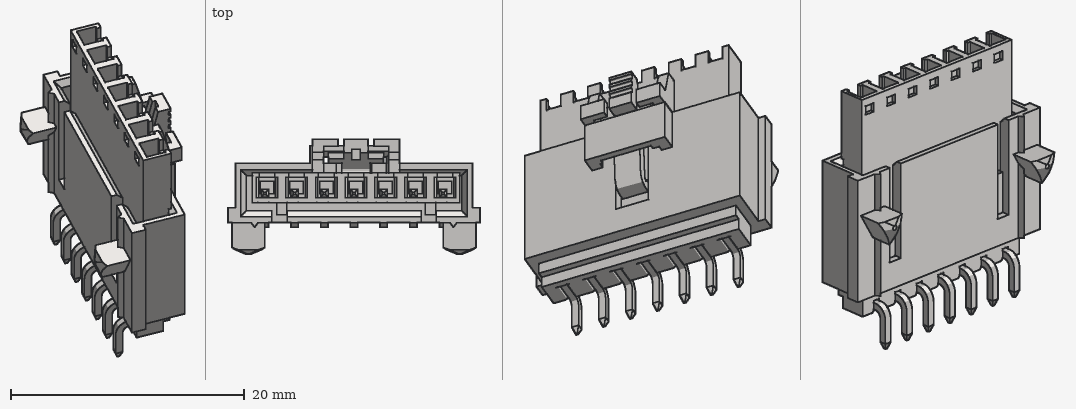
import cadquery as cq
import math


OVERALL_Z = 23.17
DIAGONAL = math.sqrt(0.5)

CONTACTS = 7
CONTACT_SPAN = 15.25
PITCH = CONTACT_SPAN / (CONTACTS - 1)
contact_places = [(i - (CONTACTS - 1) / 2) * PITCH for i in range(CONTACTS)]

PIN_SIZE = 0.65
PIN_Y = 2.5
PIN_Z = -1.6
PIN_TOP_Z = 8.8
TAIL_Y = -0.1
BEND_INNER = 0.58
POINT_LENGTH = 0.63
POINT_SIZE = 0.2

SHELL_HALF_X = 10.15
SHELL_Y = 5.07
SHELL_Z = 11.47
FLANGE_HALF_X = 10.8
FLANGE_Y = 1.27

FLOOR_Z = 2.55
FLOOR_HALF_X = 9.2
FLOOR_FRONT_Y = 1.02
FLOOR_BACK_Y = 4.0
MOUTH_CHAMFER = 0.5

KEY_SLOTS = [(-7.02, -5.7), (5.77, 7.05)]
RIDGE_X = 8.5
RIDGE_HALF_WIDTH = 0.3
RIDGE_HEIGHT = 0.42

BASE_HALF_X = 9.3
BASE_FRONT_Y = 1.0
BASE_STEP_Y = 3.43
BASE_BACK_Y = 4.0
BASE_STEP_Z = -1.1
BASE_BOTTOM_Z = -2.18
MOUTH_RADIUS = 0.3

PEG_X = 9.04
PEG_HALF_WIDTH = 1.41
PEG_TOP_Z = 8.06
PEG_BOTTOM_Z = 5.55
PEG_TIP_Y = -2.7
PEG_AXIS_DROP = 0.7
PEG_TIP_RADIUS = 0.2
PEG_CONE_SLOPE = 0.42
PEG_TOP_BEVEL = 0.37
PEG_SIDE_BEVEL = 0.32

BRIDGE_HALF_X = 3.78
BRIDGE_Y = 6.58
BRIDGE_BOTTOM_Z = 7.6
OPENING_HALF_X = 2.78
OPENING_BACK_Y = 5.58
SILL_Z = 9.96
LATCH_SLOT_HALF_X = 1.53

PLUG_X = 0.174
PLUG_HALF_X = 8.87
PLUG_FRONT_Y = 1.7
PLUG_BACK_Y = 4.25
PLUG_TOP_Z = 17.85
PIN_TAIL_Z = PLUG_TOP_Z - OVERALL_Z

CELL_X = 1.85
CELL_FRONT_Y = 2.13
CELL_BACK_Y = 3.87
CELL_FLOOR_Z = 7.88
CELL_FLOOR_X = 1.44
WELL_X = 1.15
WELL_FRONT_Y = 2.48
WELL_BACK_Y = 3.52
WELL_DEPTH = 0.46
NOTCH_X = 1.35
NOTCH_DEPTH = 1.25

WINDOW_SHIFT = -0.32
WINDOW_X = 0.95
WINDOW_BOTTOM_Z = 16.31
WINDOW_TOP_Z = 17.12
WINDOW_DEPTH = 0.35

KEYS = [(-6.6, -5.75), (6.1, 6.97)]
KEY_FRONT_Y = 0.67
KEY_TOP_Z = 6.37

LEG_OUTER_X = 3.73
LEG_INNER_X = 2.78
HOOK_INNER_X = 1.53
HOOK_FRONT_Y = 6.5
LATCH_BACK_Y = 7.14
GUARD_BOTTOM_Z = 11.8
HOOK_TOP_Z = 13.28
GUARD_TOP_Z = 15.69
GUARD_SLOPE_TOP_Y = 5.35
GUARD_SLOPE_FOOT_Y = 6.0

ARM_HALF_X = 2.36
ARM_NECK_HALF_X = 1.2
ARM_NECK_Z = 10.2
ARM_BEND_Z = 5.51
ARM_BEND_RADIUS = 0.25
ARM_FOOT_BACK_Y = 5.6
ARM_BACK_Y = 5.98
ARM_FRONT_Y = 5.2
TAB_HALF_X = 1.05
TAB_TOP_Z = 15.45
SLOPE_FOOT_Z = 12.05
SERRATIONS = 3
SERRATION_RADIUS = 0.23
SERRATION_PITCH = 0.76
FIRST_SERRATION_DROP = 0.5
TAB_SLOT_X = 0.75
TAB_SLOT_BACK_Y = 6.25
TAB_SLOT_Z = 12.75


def block(x0, x1, y0, y1, z0, z1):
    """Box between two opposite corners."""
    return cq.Workplane("XY").box(x1 - x0, y1 - y0, z1 - z0, centered=False).translate((x0, y0, z0))


def side_profile(points, x0, x1):
    """Prism with a (Y, Z) outline, running from x0 to x1."""
    return cq.Workplane("YZ").polyline(points).close().extrude(x1 - x0).translate((x0, 0, 0))


def tapered_block(low, high, z0, z1):
    """Loft between two (x0, x1, y0, y1) rectangles at the heights z0 and z1."""
    def corners(x0, x1, y0, y1):
        return [(x0, y0), (x1, y0), (x1, y1), (x0, y1)]

    return (
        cq.Workplane("XY", origin=(0, 0, z0)).polyline(corners(*low)).close()
        .workplane(offset=z1 - z0).polyline(corners(*high)).close()
        .loft(ruled=True)
    )


def make_pin(x):
    """Square pin: upright contact leg, square corner, rounded bend and downward solder tail."""
    h = PIN_SIZE / 2
    bend_outer = BEND_INNER + PIN_SIZE
    bend_y = TAIL_Y + h + BEND_INNER
    bend_z = PIN_Z - h - BEND_INNER
    inner_mid = BEND_INNER * DIAGONAL
    outer_mid = bend_outer * DIAGONAL
    top = PIN_TOP_Z - POINT_LENGTH
    tail = PIN_TAIL_Z + POINT_LENGTH
    body = (
        cq.Workplane("YZ")
        .moveTo(PIN_Y - h, top).lineTo(PIN_Y + h, top).lineTo(PIN_Y + h, PIN_Z - h)
        .lineTo(bend_y, PIN_Z - h)
        .threePointArc((bend_y - inner_mid, bend_z + inner_mid), (bend_y - BEND_INNER, bend_z))
        .lineTo(TAIL_Y + h, tail).lineTo(TAIL_Y - h, tail).lineTo(TAIL_Y - h, bend_z)
        .threePointArc((bend_y - outer_mid, bend_z + outer_mid), (bend_y, PIN_Z + h))
        .lineTo(PIN_Y - h, PIN_Z + h).close()
        .extrude(h, both=True)
    )

    def point(y, z, length):
        return (
            cq.Workplane("XY", origin=(0, y, z)).rect(PIN_SIZE, PIN_SIZE)
            .workplane(offset=length).rect(POINT_SIZE, POINT_SIZE).loft(ruled=True)
        )

    body = body.union(point(PIN_Y, top, POINT_LENGTH)).union(point(TAIL_Y, tail, -POINT_LENGTH))
    return body.translate((x, 0, 0))


def make_peg(x):
    """Triangular mounting peg with a conical tip, bevelled along its three sides."""
    axis_z = PEG_TOP_Z - PEG_AXIS_DROP
    length = -PEG_TIP_Y
    prism = (
        cq.Workplane("XZ")
        .polyline([(-PEG_HALF_WIDTH, PEG_TOP_Z), (PEG_HALF_WIDTH, PEG_TOP_Z), (0, PEG_BOTTOM_Z)]).close()
        .extrude(length)
    )
    base_radius = PEG_TIP_RADIUS + length / PEG_CONE_SLOPE
    cone = (
        cq.Workplane("XZ", origin=(0, 0, axis_z)).circle(base_radius)
        .workplane(offset=length).circle(PEG_TIP_RADIUS).loft(ruled=True)
    )
    peg = prism.intersect(cone)

    def bevel(angle, distance, depth):
        """Wedge along a side that lies at a distance from the axis, turned by an angle from the top."""
        reach = 2 * distance - PEG_TIP_RADIUS
        outline = [
            (PEG_TIP_Y, axis_z + PEG_TIP_RADIUS), (PEG_TIP_Y, axis_z + reach),
            (PEG_TIP_Y + 2 * depth, axis_z + reach),
        ]
        wedge = side_profile(outline, -2 * PEG_HALF_WIDTH, 2 * PEG_HALF_WIDTH)
        return wedge.rotate((0, 0, axis_z), (0, 1, axis_z), angle)

    half_apex = math.atan2(PEG_HALF_WIDTH, PEG_TOP_Z - PEG_BOTTOM_Z)
    side_distance = (axis_z - PEG_BOTTOM_Z) * math.sin(half_apex)
    side_angle = 90 + math.degrees(half_apex)
    peg = peg.cut(bevel(0, PEG_AXIS_DROP, PEG_TOP_BEVEL))
    for angle in (-side_angle, side_angle):
        peg = peg.cut(bevel(angle, side_distance, PEG_SIDE_BEVEL))
    return peg.translate((x, 0, 0))


def make_ridge(x):
    """Triangular crush ridge up the mounting face."""
    outline = [(x - RIDGE_HALF_WIDTH, 0), (x, -RIDGE_HEIGHT), (x + RIDGE_HALF_WIDTH, 0)]
    return cq.Workplane("XY").polyline(outline).close().extrude(SHELL_Z)


def make_pin_slot(x):
    """Insertion slot under a pin, with a rounded mouth."""
    h = PIN_SIZE / 2
    mouth = h + MOUTH_RADIUS
    top = BASE_BOTTOM_Z + MOUTH_RADIUS
    mid = MOUTH_RADIUS * (1 - DIAGONAL)
    return (
        cq.Workplane("XZ", origin=(x, BASE_FRONT_Y, 0))
        .moveTo(-mouth, BASE_BOTTOM_Z)
        .threePointArc((-h - mid, BASE_BOTTOM_Z + mid), (-h, top))
        .lineTo(-h, BASE_STEP_Z).lineTo(h, BASE_STEP_Z).lineTo(h, top)
        .threePointArc((h + mid, BASE_BOTTOM_Z + mid), (mouth, BASE_BOTTOM_Z))
        .close().extrude(-(PIN_Y + h - BASE_FRONT_Y))
    )


def make_shell():
    """Solid outer form: shell, side flanges, latch bridge, pin base, ridges and pegs."""
    shell = block(-SHELL_HALF_X, SHELL_HALF_X, 0, SHELL_Y, 0, SHELL_Z)
    flanges = block(-FLANGE_HALF_X, FLANGE_HALF_X, 0, FLANGE_Y, 0, SHELL_Z)
    bridge = block(-BRIDGE_HALF_X, BRIDGE_HALF_X, SHELL_Y, BRIDGE_Y, BRIDGE_BOTTOM_Z, SHELL_Z)
    base_outline = [
        (BASE_FRONT_Y, 0), (BASE_FRONT_Y, BASE_BOTTOM_Z), (BASE_STEP_Y, BASE_BOTTOM_Z),
        (BASE_STEP_Y, BASE_STEP_Z), (BASE_BACK_Y, BASE_STEP_Z), (BASE_BACK_Y, 0),
    ]
    base = side_profile(base_outline, -BASE_HALF_X, BASE_HALF_X)
    shell = shell.union(flanges).union(bridge).union(base)
    for side in (-1, 1):
        shell = shell.union(make_ridge(side * RIDGE_X)).union(make_peg(side * PEG_X))
    return shell


def make_cavity():
    """Mating cavity with a chamfered mouth and the keying slots in its front wall."""
    mouth_half_x = FLOOR_HALF_X + MOUTH_CHAMFER
    cavity = block(-FLOOR_HALF_X, FLOOR_HALF_X, FLOOR_FRONT_Y, FLOOR_BACK_Y, FLOOR_Z, SHELL_Z)
    mouth = tapered_block(
        (-FLOOR_HALF_X, FLOOR_HALF_X, FLOOR_FRONT_Y, FLOOR_BACK_Y),
        (-mouth_half_x, mouth_half_x, FLOOR_FRONT_Y - MOUTH_CHAMFER, FLOOR_BACK_Y + MOUTH_CHAMFER),
        SHELL_Z - MOUTH_CHAMFER, SHELL_Z,
    )
    cavity = cavity.union(mouth)
    for x0, x1 in KEY_SLOTS:
        cavity = cavity.union(block(x0, x1, -RIDGE_HEIGHT, PLUG_FRONT_Y, FLOOR_Z, SHELL_Z))
    return cavity


def make_latch_opening():
    """Passage for the latch through the bridge and the back wall, above a sill with a narrow slot."""
    opening_top_x = OPENING_HALF_X + MOUTH_CHAMFER
    opening = block(-OPENING_HALF_X, OPENING_HALF_X, PLUG_FRONT_Y, OPENING_BACK_Y, BRIDGE_BOTTOM_Z, SHELL_Z)
    mouth = tapered_block(
        (-OPENING_HALF_X, OPENING_HALF_X, PLUG_FRONT_Y, OPENING_BACK_Y),
        (-opening_top_x, opening_top_x, PLUG_FRONT_Y, OPENING_BACK_Y + MOUTH_CHAMFER),
        SHELL_Z - MOUTH_CHAMFER, SHELL_Z,
    )
    sill = block(-SHELL_HALF_X, SHELL_HALF_X, 0, SHELL_Y, 0, SILL_Z)
    arm_recess = block(
        PLUG_X - ARM_HALF_X, PLUG_X + ARM_HALF_X, SHELL_Y, ARM_BACK_Y, BRIDGE_BOTTOM_Z, SHELL_Z
    )
    slot = block(-LATCH_SLOT_HALF_X, LATCH_SLOT_HALF_X, PLUG_FRONT_Y, SHELL_Y, FLOOR_Z, SHELL_Z)
    return opening.union(mouth).cut(sill).union(arm_recess).union(slot)


def make_header(pins):
    """Header housing with its cavity, latch passage and matching pin holes."""
    body = make_shell().cut(make_cavity()).cut(make_latch_opening())
    for x, pin in zip(contact_places, pins):
        body = body.cut(make_pin_slot(x)).cut(pin)
    return body


def make_cell(x):
    """Contact cell with a chamfered floor, a shallow well, a back notch and a blind front window."""
    half = CELL_X / 2
    low = CELL_FLOOR_X / 2
    lead_top = CELL_FLOOR_Z + half - low
    upper = block(x - half, x + half, CELL_FRONT_Y, CELL_BACK_Y, lead_top, PLUG_TOP_Z)
    lower = tapered_block(
        (x - low, x + low, CELL_FRONT_Y, CELL_BACK_Y),
        (x - half, x + half, CELL_FRONT_Y, CELL_BACK_Y), CELL_FLOOR_Z, lead_top,
    )
    well = block(
        x - WELL_X / 2, x + WELL_X / 2, WELL_FRONT_Y, WELL_BACK_Y, CELL_FLOOR_Z - WELL_DEPTH, CELL_FLOOR_Z
    )
    notch = block(
        x - NOTCH_X / 2, x + NOTCH_X / 2, CELL_BACK_Y, PLUG_BACK_Y, PLUG_TOP_Z - NOTCH_DEPTH, PLUG_TOP_Z
    )
    window_x = x + WINDOW_SHIFT
    window = block(
        window_x - WINDOW_X / 2, window_x + WINDOW_X / 2,
        PLUG_FRONT_Y, PLUG_FRONT_Y + WINDOW_DEPTH, WINDOW_BOTTOM_Z, WINDOW_TOP_Z,
    )
    return upper.union(lower).union(well).union(notch).union(window)


def make_guard(side):
    """Stepped plate beside the latch arm, with a hook reaching inwards behind it."""
    def span(inner, outer):
        return sorted((PLUG_X + side * inner, PLUG_X + side * outer))

    plate = [
        (PLUG_BACK_Y, GUARD_BOTTOM_Z), (LATCH_BACK_Y, GUARD_BOTTOM_Z), (LATCH_BACK_Y, HOOK_TOP_Z),
        (GUARD_SLOPE_FOOT_Y, HOOK_TOP_Z), (GUARD_SLOPE_TOP_Y, GUARD_TOP_Z), (PLUG_BACK_Y, GUARD_TOP_Z),
    ]
    guard = side_profile(plate, *span(LEG_INNER_X, LEG_OUTER_X))
    hook_x = span(HOOK_INNER_X, LEG_OUTER_X)
    return guard.union(block(*hook_x, HOOK_FRONT_Y, LATCH_BACK_Y, GUARD_BOTTOM_Z, HOOK_TOP_Z))


def make_latch():
    """U-shaped spring arm rising from the plug back, ending in a serrated finger tab."""
    inner_y = PLUG_BACK_Y + 2 * ARM_BEND_RADIUS
    bend_y = PLUG_BACK_Y + ARM_BEND_RADIUS
    outer_radius = ARM_FOOT_BACK_Y - bend_y
    arm = (
        cq.Workplane("YZ").moveTo(FLOOR_BACK_Y, ARM_BEND_Z).lineTo(PLUG_BACK_Y, ARM_BEND_Z)
        .threePointArc((bend_y, ARM_BEND_Z - ARM_BEND_RADIUS), (inner_y, ARM_BEND_Z))
        .lineTo(ARM_FRONT_Y, SLOPE_FOOT_Z).lineTo(ARM_BACK_Y, TAB_TOP_Z)
        .lineTo(LATCH_BACK_Y, TAB_TOP_Z).lineTo(LATCH_BACK_Y, SLOPE_FOOT_Z)
        .lineTo(ARM_BACK_Y, SLOPE_FOOT_Z).lineTo(ARM_BACK_Y, SHELL_Z)
        .lineTo(ARM_FOOT_BACK_Y, ARM_BEND_Z)
        .threePointArc(
            (bend_y + outer_radius * DIAGONAL, ARM_BEND_Z - outer_radius * DIAGONAL),
            (bend_y, ARM_BEND_Z - outer_radius),
        )
        .lineTo(FLOOR_BACK_Y, ARM_BEND_Z - outer_radius).close()
        .extrude(ARM_HALF_X, both=True)
    )
    neck = block(-ARM_NECK_HALF_X, ARM_NECK_HALF_X, 0, LATCH_BACK_Y, 0, ARM_NECK_Z)
    paddle = block(-ARM_HALF_X, ARM_HALF_X, 0, ARM_BACK_Y, ARM_NECK_Z, HOOK_TOP_Z)
    tab = block(-TAB_HALF_X, TAB_HALF_X, 0, LATCH_BACK_Y, SLOPE_FOOT_Z, TAB_TOP_Z)
    latch = arm.intersect(neck.union(paddle).union(tab))
    for i in range(SERRATIONS):
        z = TAB_TOP_Z - FIRST_SERRATION_DROP - i * SERRATION_PITCH
        latch = latch.cut(
            cq.Workplane("YZ").center(LATCH_BACK_Y, z).circle(SERRATION_RADIUS).extrude(TAB_HALF_X, both=True)
        )
    latch = latch.cut(block(-TAB_SLOT_X / 2, TAB_SLOT_X / 2, 0, TAB_SLOT_BACK_Y, TAB_SLOT_Z, TAB_TOP_Z))
    return latch.translate((PLUG_X, 0, 0))


def make_plug(pins):
    """Plug housing with keying ribs, latch, guards, contact cells and matching pin holes."""
    x0 = PLUG_X - PLUG_HALF_X
    x1 = PLUG_X + PLUG_HALF_X
    body = block(x0, x1, PLUG_FRONT_Y, PLUG_BACK_Y, SHELL_Z, PLUG_TOP_Z)
    body = body.union(block(x0, x1, PLUG_FRONT_Y, FLOOR_BACK_Y, FLOOR_Z, SHELL_Z))
    for key_x0, key_x1 in KEYS:
        body = body.union(block(key_x0, key_x1, KEY_FRONT_Y, PLUG_FRONT_Y, FLOOR_Z, KEY_TOP_Z))
    body = body.union(make_latch())
    for side in (-1, 1):
        body = body.union(make_guard(side))
    for x, pin in zip(contact_places, pins):
        body = body.cut(make_cell(PLUG_X + x)).cut(pin)
    return body


pins = [make_pin(x) for x in contact_places]
header = make_header(pins)
plug = make_plug(pins)

result = cq.Compound.makeCompound([header.val(), plug.val(), *[pin.val() for pin in pins]])